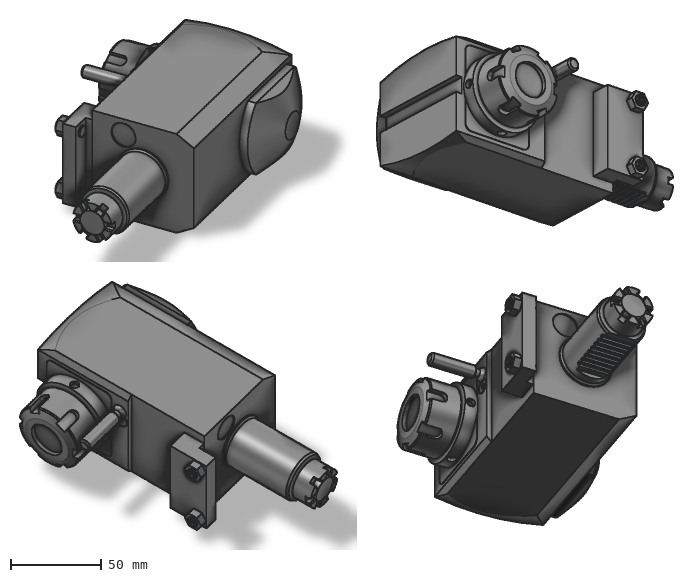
import cadquery as cq
import math


HALF_SIZE = 32.0
BODY_LENGTH = 113.8
SIDE_CHAMFER_X = 10.9
SIDE_CHAMFER_Z = 6.2
PLATE_X = -35.1
PLATE_START_Y = 50.9
BACK_NOTCH_WIDTH = 10.2
BACK_NOTCH_DEPTH = 4.0
BACK_CONE_X = -9.3
BACK_CONE_RADIUS = 154.0
BACK_CONE_EDGE_Z = 31.1
BACK_CONE_ANGLE = 15.0
PLUG_X, PLUG_Z = -12.3, 21.6
PLUG_RADIUS = 7.6
PLUG_DEPTH = 0.9

SPINDLE_Y = 85.0
PAD_LENGTH, PAD_HEIGHT = 45.2, 52.6
PAD_CORNER = 4.2
PAD_THICKNESS = 0.3
COLLAR_RADIUS, COLLAR_X = 23.5, -43.0
COLLAR_HOLE_RADIUS = 2.6
COLLAR_HOLE_DEPTH = 4.3
COLLAR_HOLE_TIP = 1.5
COLLAR_HOLE_X = -39.5
COLLAR_HOLE_COUNT = 4
NECK_RADIUS = 19.4
NUT_RADIUS = 21.0
NUT_BACK_X, NUT_EDGE_X, NUT_FRONT_X = -44.3, -63.0, -64.7
NUT_EDGE_RADIUS, NUT_EDGE_START_X = 20.5, -62.1
NUT_FACE_RADIUS = 14.9
NUT_BORE_RADIUS = 10.5
NUT_BORE_DEPTH = 2.6
NUT_SLOT_COUNT = 6
NUT_SLOT_WIDTH = 6.5
SIDE_SLOT_END_X = -52.8
OTHER_SLOT_END_X = -50.9
NUT_SLOT_FLOOR = 17.6

TUBE_Y, TUBE_Z = 56.4, 17.1
TUBE_RADIUS = 3.8
TUBE_TIP_X, TUBE_END_X = -67.8, -40.3
TUBE_TIP_CHAMFER, TUBE_END_CHAMFER = 1.0, 0.5
TUBE_NECK_RADIUS = 2.5
TUBE_BALL_RADIUS, TUBE_BALL_X = 4.5, -33.7
SCREW_Z = 9.5
SCREW_RADIUS = 4.5
SCREW_DEPTH = 0.5
SCREW_SOCKET_RADIUS, SCREW_SOCKET_DEPTH = 1.4, 1.0

CAP_RADIUS = 32.2
CAP_HALF_HEIGHT = 23.2
CAP_BACK = 24.4
CAP_EDGE_X, CAP_TOP_X = 37.2, 48.1
CAP_TOP_RADIUS = 8.3
CAP_BEVEL_START_X, CAP_BEVEL_END_X = 37.2, 42.5
CAP_BEVEL_DROP = 2.8

SHANK_RADIUS = 15.0
FLANGE_RADIUS, FLANGE_LENGTH = 16.1, 0.9
FLANGE_END = 2.0
SHANK_LENGTH = 45.3
SHANK_CHAMFER_LENGTH, SHANK_CHAMFER_DEPTH = 1.5, 0.7
SHANK_NECK_RADIUS = 9.3
DRIVE_RADIUS = 12.3
DRIVE_START, TOTAL_LENGTH = 46.4, 59.2
TOOTH_END = 58.8
DRIVE_CORE_RADIUS = 7.6
DRIVE_SLOT_WIDTH, DRIVE_MOUTH_WIDTH = 4.0, 5.4
DRIVE_MOUTH_DEPTH = 0.9
DRIVE_SLOT_DEPTH = 3.8
DRIVE_SLOT_COUNT = 6
RACK_FLAT_Z, RACK_ROOT_Z = -12.3, -11.0
RACK_START = 7.0
RACK_PITCH = 4.0
RACK_COUNT = 8
RACK_LAST_Y = -39.6
RACK_ROOT_WIDTH, RACK_TOP_WIDTH = 2.0, 3.3

BRACKET_X, BRACKET_INNER_X = -44.6, -36.2
BRACKET_BACK_Y, BRACKET_FRONT_Y = 14.0, -11.0
BRACKET_HALF_HEIGHT = 25.8
BRACKET_STEP_Y = 0.3
BOLT_Y, BOLT_Z = -5.2, 20.0
BOLT_RADIUS = 3.3
BOLT_TIP_X, BOLT_END_X = -50.9, -35.1
HEX_X = -49.3
HEX_FLATS = 10.0
BOLT_CHAMFER = 0.7
SOCKET_FLATS, SOCKET_DEPTH = 3.3, 1.7


def box(x0, x1, y0, y1, z0, z1):
    return cq.Workplane("XY").box(x1 - x0, y1 - y0, z1 - z0, False).translate((x0, y0, z0))


def rod_x(radius, x0, x1, y, z):
    """Cylinder along X."""
    return cq.Workplane("YZ", origin=(x0, y, z)).circle(radius).extrude(x1 - x0)


def turned_x(profile, y, z):
    """Body turned about an axis along X; the profile holds (x, radius) points."""
    body = cq.Workplane("XY").polyline(profile).close().revolve(360, (0, 0, 0), (1, 0, 0))
    return body.translate((0, y, z))


def turned_y(profile):
    """Body turned about the Y axis; the profile holds (radius, y) points."""
    return cq.Workplane("XY").polyline(profile).close().revolve(360, (0, 0, 0), (0, 1, 0))


def back_bevel(side):
    """Large cone whose flank bevels the upper (+1) or lower (-1) back edge."""
    base_radius = BACK_CONE_RADIUS + BODY_LENGTH * math.tan(math.radians(BACK_CONE_ANGLE))
    cone = turned_y([(0, 0), (base_radius, 0), (BACK_CONE_RADIUS, BODY_LENGTH), (0, BODY_LENGTH)])
    return cone.translate((BACK_CONE_X, 0, side * (BACK_CONE_EDGE_Z - BACK_CONE_RADIUS)))


def housing():
    s = HALF_SIZE
    inner_x, inner_z = s - SIDE_CHAMFER_X, s - SIDE_CHAMFER_Z
    outline = [(-s, -s), (inner_x, -s), (s, -inner_z), (s, inner_z), (inner_x, s), (-s, s)]
    body = cq.Workplane("XZ").polyline(outline).close().extrude(-BODY_LENGTH)
    plate = box(PLATE_X, 0, PLATE_START_Y, BODY_LENGTH, -s, s)
    plate = plate.edges("|Y and <X").chamfer(-s - PLATE_X)
    body = body.union(plate)
    for side in (1, -1):
        body = body.intersect(back_bevel(side))
    half_notch = BACK_NOTCH_WIDTH / 2
    notch_y = BODY_LENGTH - BACK_NOTCH_DEPTH
    body = body.cut(box(PLATE_X, s, notch_y, BODY_LENGTH, -half_notch, half_notch))
    plug = cq.Workplane("XZ", origin=(PLUG_X, 0, PLUG_Z)).circle(PLUG_RADIUS).extrude(-PLUG_DEPTH)
    screw = rod_x(SCREW_RADIUS, PLATE_X, PLATE_X + SCREW_DEPTH, TUBE_Y, SCREW_Z)
    socket = rod_x(SCREW_SOCKET_RADIUS, PLATE_X, PLATE_X + SCREW_SOCKET_DEPTH, TUBE_Y, SCREW_Z)
    return body.cut(plug).cut(screw).cut(socket)


def nut_slot(end_x):
    """Round-ended wrench slot on top of the nut, open towards its front face."""
    half_slot = NUT_SLOT_WIDTH / 2
    height = NUT_RADIUS - NUT_SLOT_FLOOR
    round_x = end_x - half_slot
    slot = box(NUT_FRONT_X, round_x, -half_slot, half_slot, 0, height)
    slot = slot.union(cq.Workplane("XY", origin=(round_x, 0, 0)).circle(half_slot).extrude(height))
    return slot.translate((0, SPINDLE_Y, NUT_SLOT_FLOOR))


def spindle():
    pad = cq.Workplane("YZ", origin=(PLATE_X, SPINDLE_Y, 0)).rect(PAD_LENGTH, PAD_HEIGHT)
    pad = pad.extrude(-PAD_THICKNESS).edges("|X").fillet(PAD_CORNER)
    body = turned_x(
        [
            (PLATE_X, 0),
            (PLATE_X, COLLAR_RADIUS),
            (COLLAR_X, COLLAR_RADIUS),
            (COLLAR_X, NECK_RADIUS),
            (NUT_BACK_X, NECK_RADIUS),
            (NUT_BACK_X, NUT_RADIUS),
            (NUT_EDGE_START_X, NUT_RADIUS),
            (NUT_EDGE_X, NUT_EDGE_RADIUS),
            (NUT_FRONT_X, NUT_FACE_RADIUS),
            (NUT_FRONT_X, NUT_BORE_RADIUS),
            (NUT_FRONT_X + NUT_BORE_DEPTH, NUT_BORE_RADIUS),
            (NUT_FRONT_X + NUT_BORE_DEPTH, 0),
        ],
        SPINDLE_Y,
        0,
    )
    center, axis_end = (0, SPINDLE_Y, 0), (1, SPINDLE_Y, 0)

    tip_z = COLLAR_RADIUS - COLLAR_HOLE_DEPTH
    hole = cq.Workplane("XZ").polyline(
        [
            (0, tip_z),
            (COLLAR_HOLE_RADIUS, tip_z + COLLAR_HOLE_TIP),
            (COLLAR_HOLE_RADIUS, COLLAR_RADIUS),
            (0, COLLAR_RADIUS),
        ]
    )
    hole = hole.close().revolve(360, (0, 0, 0), (0, 1, 0)).translate((COLLAR_HOLE_X, SPINDLE_Y, 0))
    for i in range(COLLAR_HOLE_COUNT):
        body = body.cut(hole.rotate(center, axis_end, 360 / COLLAR_HOLE_COUNT * i))

    for i in range(NUT_SLOT_COUNT):
        faces_side = i % (NUT_SLOT_COUNT // 2) == 0
        slot = nut_slot(SIDE_SLOT_END_X if faces_side else OTHER_SLOT_END_X)
        body = body.cut(slot.rotate(center, axis_end, 90 + 360 / NUT_SLOT_COUNT * i))
    return body.union(pad)


def coolant_tube():
    tube = rod_x(TUBE_RADIUS, TUBE_TIP_X, TUBE_END_X, TUBE_Y, TUBE_Z)
    tube = tube.faces("<X").chamfer(TUBE_TIP_CHAMFER).faces(">X").chamfer(TUBE_END_CHAMFER)
    neck = rod_x(TUBE_NECK_RADIUS, TUBE_END_X, PLATE_X, TUBE_Y, TUBE_Z)
    ball = cq.Workplane("XY").sphere(TUBE_BALL_RADIUS).translate((TUBE_BALL_X, TUBE_Y, TUBE_Z))
    return tube.union(neck).union(ball)


def cap():
    body = turned_x(
        [
            (HALF_SIZE, 0),
            (HALF_SIZE, CAP_RADIUS),
            (CAP_EDGE_X, CAP_RADIUS),
            (CAP_TOP_X, CAP_TOP_RADIUS),
            (CAP_TOP_X, 0),
        ],
        SPINDLE_Y,
        0,
    )
    slope = CAP_BEVEL_DROP / (CAP_BEVEL_END_X - CAP_BEVEL_START_X)
    end_z = CAP_HALF_HEIGHT - slope * (CAP_TOP_X - CAP_BEVEL_START_X)
    limits = [
        (HALF_SIZE, CAP_HALF_HEIGHT),
        (CAP_BEVEL_START_X, CAP_HALF_HEIGHT),
        (CAP_TOP_X, end_z),
        (CAP_TOP_X, -end_z),
        (CAP_BEVEL_START_X, -CAP_HALF_HEIGHT),
        (HALF_SIZE, -CAP_HALF_HEIGHT),
    ]
    envelope = cq.Workplane("XZ", origin=(0, SPINDLE_Y + CAP_BACK, 0)).polyline(limits).close()
    return body.intersect(envelope.extrude(CAP_BACK + CAP_RADIUS))


def shank():
    body = turned_y(
        [
            (0, 0),
            (FLANGE_RADIUS, 0),
            (FLANGE_RADIUS, -FLANGE_LENGTH),
            (SHANK_RADIUS, -FLANGE_END),
            (SHANK_RADIUS, SHANK_CHAMFER_LENGTH - SHANK_LENGTH),
            (SHANK_RADIUS - SHANK_CHAMFER_DEPTH, -SHANK_LENGTH),
            (SHANK_NECK_RADIUS, -SHANK_LENGTH),
            (SHANK_NECK_RADIUS, -DRIVE_START),
            (DRIVE_RADIUS, -DRIVE_START),
            (DRIVE_RADIUS, -TOOTH_END),
            (DRIVE_CORE_RADIUS, -TOOTH_END),
            (DRIVE_CORE_RADIUS, -TOTAL_LENGTH),
            (0, -TOTAL_LENGTH),
        ]
    )
    r = SHANK_RADIUS
    body = body.cut(box(-r, r, -SHANK_LENGTH, -RACK_START, -r, RACK_FLAT_Z))
    half_root, half_top = RACK_ROOT_WIDTH / 2, RACK_TOP_WIDTH / 2
    groove = cq.Workplane("YZ", origin=(-r, 0, 0)).polyline(
        [
            (-half_root, RACK_ROOT_Z),
            (half_root, RACK_ROOT_Z),
            (half_top, RACK_FLAT_Z),
            (-half_top, RACK_FLAT_Z),
        ]
    )
    groove = groove.close().extrude(2 * r)
    for i in range(RACK_COUNT):
        body = body.cut(groove.translate((0, RACK_LAST_Y + RACK_PITCH * i, 0)))

    half_slot, half_mouth = DRIVE_SLOT_WIDTH / 2, DRIVE_MOUTH_WIDTH / 2
    floor_y, mouth_y = DRIVE_SLOT_DEPTH - TOOTH_END, DRIVE_MOUTH_DEPTH - TOOTH_END
    slot = cq.Workplane("YZ").polyline(
        [
            (floor_y, -half_slot),
            (mouth_y, -half_slot),
            (-TOOTH_END, -half_mouth),
            (-TOOTH_END, half_mouth),
            (mouth_y, half_slot),
            (floor_y, half_slot),
        ]
    )
    slot = slot.close().extrude(DRIVE_RADIUS)
    core = cq.Workplane("XZ").circle(DRIVE_CORE_RADIUS).extrude(TOTAL_LENGTH)
    slot = slot.cut(core)
    for i in range(DRIVE_SLOT_COUNT):
        body = body.cut(slot.rotate((0, 0, 0), (0, 1, 0), 360 / DRIVE_SLOT_COUNT * i))
    return body


def hexagon_x(flats, x0, x1, z):
    """Hexagonal prism along X on a bolt axis, given its width across flats."""
    start = cq.Workplane("YZ", origin=(x0, BOLT_Y, z))
    return start.polygon(6, flats / math.cos(math.pi / 6)).extrude(x1 - x0)


def bolt(z):
    stud = rod_x(BOLT_RADIUS, BOLT_TIP_X, BOLT_END_X, BOLT_Y, z).faces("<X").chamfer(BOLT_CHAMFER)
    nut = hexagon_x(HEX_FLATS, HEX_X, BRACKET_X, z)
    socket = hexagon_x(SOCKET_FLATS, BOLT_TIP_X, BOLT_TIP_X + SOCKET_DEPTH, z)
    return stud.union(nut).cut(socket)


def bracket():
    h = BRACKET_HALF_HEIGHT
    arm = box(BRACKET_X, BRACKET_INNER_X, BRACKET_FRONT_Y, BRACKET_BACK_Y, -h, h)
    foot = box(BRACKET_X, -HALF_SIZE, BRACKET_STEP_Y, BRACKET_BACK_Y, -h, h)
    body = arm.union(foot)
    for z in (BOLT_Z, -BOLT_Z):
        body = body.union(bolt(z))
    return body


result = housing()
for feature in (spindle(), coolant_tube(), cap(), shank(), bracket()):
    result = result.union(feature)